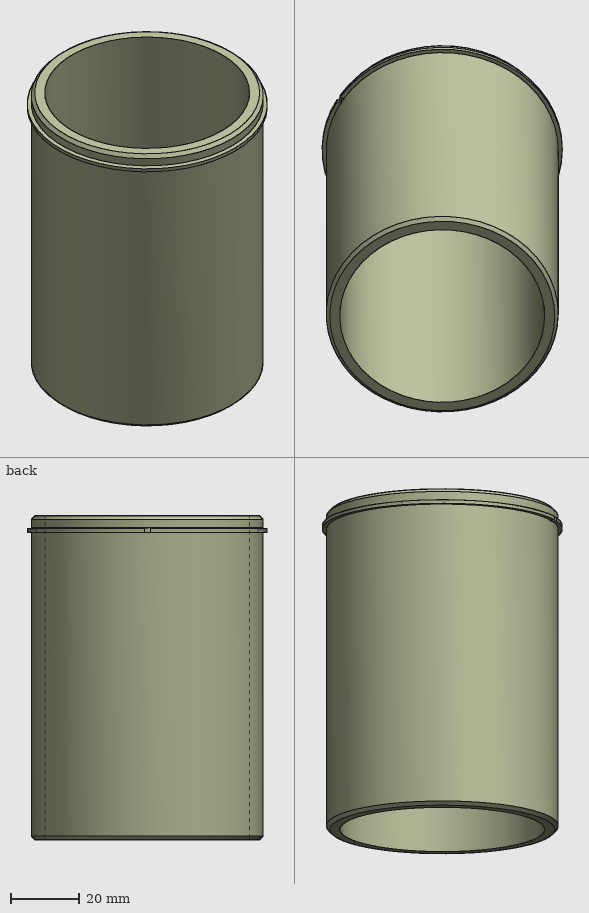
import cadquery as cq

length = 95.0
outer_diameter = 68.0
bore_diameter = 60.0
end_chamfer = 1.0

ring_diameter = 70.4
ring_thickness = 1.0
ring_gap = 1.7
groove_depth = 1.5
groove_clearance = 0.3
groove_bottom_from_top = 4.8

groove_bottom = length - groove_bottom_from_top
groove_height = ring_thickness + groove_clearance
groove_diameter = outer_diameter - 2 * groove_depth


def annulus(outside, inside, bottom, height):
    """Plain ring about Z whose lower face is at the given height."""
    return (
        cq.Workplane("XY", origin=(0, 0, bottom))
        .circle(outside / 2)
        .circle(inside / 2)
        .extrude(height)
    )


def make_sleeve():
    """Tube with chamfered outer ends and a groove for the ring."""
    blank = cq.Workplane("XY").circle(outer_diameter / 2).extrude(length)
    blank = blank.faces("<Z or >Z").edges().chamfer(end_chamfer)
    bore = cq.Workplane("XY").circle(bore_diameter / 2).extrude(length)
    groove = annulus(ring_diameter, groove_diameter, groove_bottom, groove_height)
    return blank.cut(bore).cut(groove)


def make_retaining_ring():
    """Flat ring resting on the groove's lower wall, split on its +Y side."""
    ring = annulus(ring_diameter, groove_diameter, groove_bottom, ring_thickness)
    split = (
        cq.Workplane("XY", origin=(0, 0, groove_bottom))
        .rect(ring_gap, ring_diameter)
        .extrude(ring_thickness)
        .translate((0, ring_diameter / 2, 0))
    )
    return ring.cut(split)


sleeve = make_sleeve()
retaining_ring = make_retaining_ring()

result = cq.Compound.makeCompound([sleeve.val(), retaining_ring.val()])